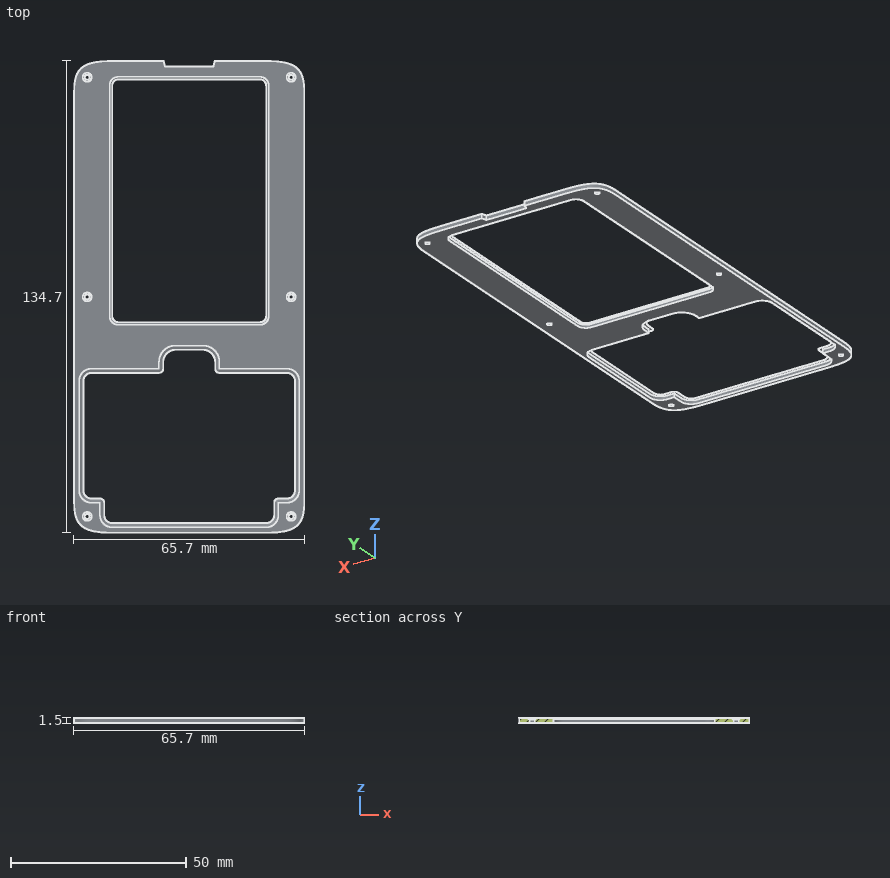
import cadquery as cq
import math

length = 134.7
width = 65.7
thickness = 1.5
corner_run_x = 10.9
corner_run_y = 8.8
corner_pull = 2.3

notch_width_outer = 14.5
notch_width_inner = 13.7
notch_depth = 1.6

window_width = 45.4
window_top = 62.8
window_bottom = -8.0
window_radius = 2.4
window_bevel = 0.78
window_lip = 0.45

opening_half_width = 31.1
opening_top = -20.7
opening_bottom = -65.5
opening_radius = 3.2
bay_half_width = 8.4
bay_top = -14.1
bay_radius = 4.5
step_half_width = 25.2
step_height = -58.5
shoulder_radius = 0.3
opening_bevel = 0.97
opening_lip = 0.28

undercut_margin = 0.3

hole_x = 29.1
hole_y = 62.6
hole_diameter = 1.3
sink_diameter = 2.5
sink_angle = 90

half_width = width / 2
half_length = length / 2


def plate():
    """Plate with softened corners: each corner bends slowly near the edges, tightly in between."""
    quarter = (
        cq.Workplane("XY")
        .lineTo(0, half_length)
        .lineTo(half_width - corner_run_x, half_length)
        .bezier([
            (half_width - corner_pull, half_length),
            (half_width, half_length - corner_pull),
            (half_width, half_length - corner_run_y),
        ], includeCurrent=True)
        .lineTo(half_width, 0)
        .close()
        .extrude(thickness)
    )
    half = quarter.union(quarter.mirror("YZ"))
    return half.union(half.mirror("XZ")).clean()


def edge_notch():
    """Shallow notch with slightly flared sides."""
    floor_y = half_length - notch_depth
    return (
        cq.Workplane("XY")
        .polyline([
            (-notch_width_outer / 2, half_length),
            (-notch_width_inner / 2, floor_y),
            (notch_width_inner / 2, floor_y),
            (notch_width_outer / 2, half_length),
        ])
        .close()
        .extrude(thickness)
    )


def block(half_x, bottom, top):
    """Full-thickness block, centred on X and spanning bottom to top along Y."""
    return cq.Workplane("XY").box(
        2 * half_x, top - bottom, thickness, centered=(True, False, False)
    ).translate((0, bottom, 0))


def window_outline():
    """Prism with the window's outline at the top face."""
    return block(window_width / 2, window_bottom, window_top).edges("|Z").fillet(window_radius)


def opening_outline():
    """Prism with the opening's outline at the top face: main area, raised bay and foot."""
    main = block(opening_half_width, step_height, opening_top).edges("|Z").fillet(opening_radius)
    bay = block(bay_half_width, step_height, bay_top).edges("|Z and >Y").fillet(bay_radius)
    foot = block(step_half_width, opening_bottom, opening_top).edges("|Z and <Y").fillet(opening_radius)
    shoulders = cq.selectors.BoxSelector(
        (-step_half_width - shoulder_radius, step_height - shoulder_radius, 0),
        (step_half_width + shoulder_radius, opening_top + shoulder_radius, thickness),
    )
    return main.union(bay).union(foot).edges("|Z").edges(shoulders).fillet(shoulder_radius)


def lipped_cutter(outline, bevel_width, lip_depth):
    """Cutter that leaves a bevelled lip under the top face and an undercut below the lip."""
    taper = math.degrees(math.atan2(bevel_width, lip_depth))
    bevel = outline.faces(">Z").wires().toPending().extrude(-lip_depth, combine=False, taper=taper)
    undercut = (
        outline.faces("<Z").wires().toPending()
        .offset2D(undercut_margin)
        .extrude(thickness - lip_depth, combine=False)
    )
    return bevel.union(undercut)


def screw_holes(body):
    """Three rows of countersunk through holes, two holes per row."""
    places = [(x, y) for x in (-hole_x, hole_x) for y in (-hole_y, 0, hole_y)]
    return (
        body.faces(">Z").workplane(origin=(0, 0, thickness))
        .pushPoints(places)
        .cskHole(hole_diameter, sink_diameter, sink_angle)
    )


frame = plate().cut(edge_notch())
frame = frame.cut(lipped_cutter(window_outline(), window_bevel, window_lip))
frame = frame.cut(lipped_cutter(opening_outline(), opening_bevel, opening_lip))
result = screw_holes(frame)